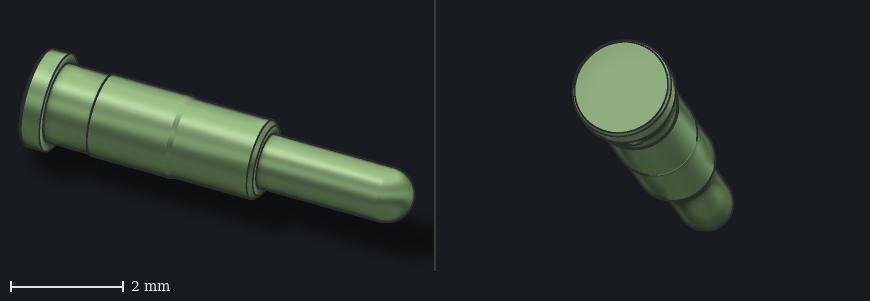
import cadquery as cq

total_length = 7.2

flange_diameter = 1.8
flange_thickness = 0.4
flange_chamfer = 0.05

body_diameter = 1.46
body_end = 4.4
body_chamfer = 0.09

band_diameter = 1.51
band_start = 1.25
band_end = 2.85
band_taper_length = 0.09

pin_diameter = 1.0

vent_diameter = 0.35
vent_position = 0.9

flange_radius = flange_diameter / 2
body_radius = body_diameter / 2
band_radius = band_diameter / 2
pin_radius = pin_diameter / 2

tip_start = total_length - pin_radius
tip_arc_offset = pin_radius * 0.5 ** 0.5

profile = (
    cq.Workplane("XY")
    .lineTo(0, flange_radius - flange_chamfer)
    .lineTo(flange_chamfer, flange_radius)
    .lineTo(flange_thickness, flange_radius)
    .lineTo(flange_thickness, body_radius)
    .lineTo(band_start, body_radius)
    .lineTo(band_start, band_radius)
    .lineTo(band_end - band_taper_length, band_radius)
    .lineTo(band_end, body_radius)
    .lineTo(body_end - body_chamfer, body_radius)
    .lineTo(body_end, body_radius - body_chamfer)
    .lineTo(body_end, pin_radius)
    .lineTo(tip_start, pin_radius)
    .threePointArc((tip_start + tip_arc_offset, tip_arc_offset), (total_length, 0))
    .close()
)

turned_pin = profile.revolve(360, (0, 0, 0), (1, 0, 0))

vent = (
    cq.Workplane("XY")
    .center(vent_position, 0)
    .circle(vent_diameter / 2)
    .extrude(-flange_radius)
)

result = turned_pin.cut(vent)